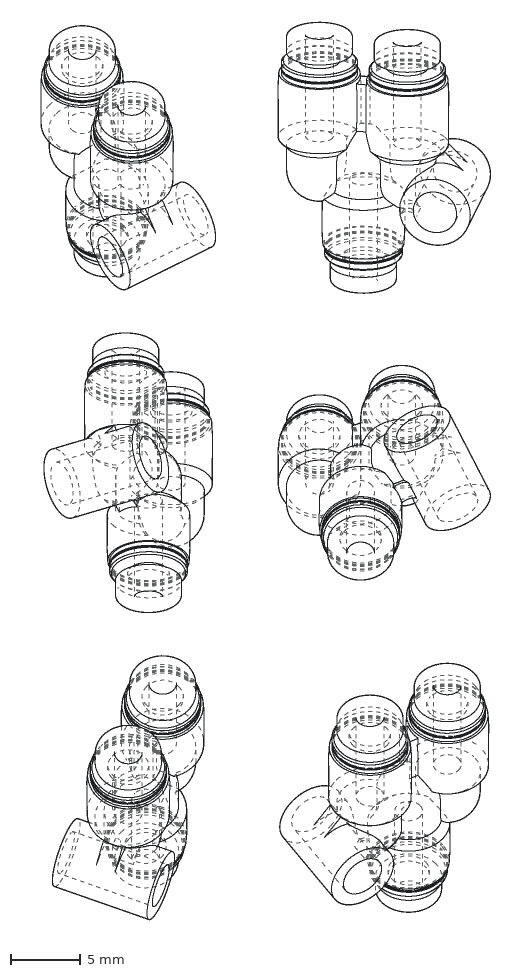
import cadquery as cq
import math

TOTAL_HEIGHT = 19.49
AXIS_OFFSET = 3.24

BUTTON_RADIUS = 2.4
LIP_RADIUS = 1.25
BORE_RADIUS = 2.0 / 2
BUTTON_NECK_RADIUS = 3.0 / 2
UPPER_COLLAR_RADIUS = 5.52 / 2
LOWER_COLLAR_RADIUS = 5.63 / 2
BODY_RADIUS = 6.0 / 2
BODY_MOUTH_RADIUS = 2.95
BODY_END_RADIUS = 2.98
STEM_RADIUS = 2.4

CROWN_DEPTH = 0.18
BUTTON_DEPTH = 1.5
COLLAR_START = 2.18
GROOVE_START = 2.73
GROOVE_END = 2.85
BODY_START = 3.18
TAPER_END = 4.2
UPPER_BODY_END = 8.25
LOWER_BODY_END = 7.05
UPPER_STEM_END = 10.72
LOWER_STEM_END = 10.0
BORE_DEPTH = 8.19

BUTTON_ROUND = 0.2
NECK_ROUND = 0.23
COLLAR_CHAMFER = 0.14
GROOVE_CUT = 0.08
SHOULDER = BODY_END_RADIUS - STEM_RADIUS
LIP_ROUND = LIP_RADIUS - BORE_RADIUS

RING_RADIUS = 5.2 / 2
RING_BORE_RADIUS = 3.2 / 2
RING_LENGTH = 7.4
RING_X = 6.02
RING_Z = 7.72

WEB_THICKNESS = 1.48
RIB_TOP = 16.0
RIB_BOTTOM = 8.77
RING_WEB_OFFSET = 2.55
RING_WEB_RELIEF = 0.82
RELIEF_X = 3.47
RELIEF_Z = 5.44


def fitting(collar_radius, body_end, stem_end):
    """One fitting on the Z axis, its end face at Z = 0 and its stem running to -Z."""
    diagonal = math.sqrt(0.5)
    profile = (
        cq.Workplane("XZ")
        .moveTo(0, 0)
        .lineTo(LIP_RADIUS, 0)
        .lineTo(BUTTON_RADIUS - BUTTON_ROUND, -CROWN_DEPTH)
        .radiusArc((BUTTON_RADIUS, -CROWN_DEPTH - BUTTON_ROUND), BUTTON_ROUND)
        .lineTo(BUTTON_RADIUS, -BUTTON_DEPTH)
        .lineTo(BUTTON_NECK_RADIUS + NECK_ROUND, -BUTTON_DEPTH)
        .radiusArc((BUTTON_NECK_RADIUS, -BUTTON_DEPTH - NECK_ROUND), -NECK_ROUND)
        .lineTo(BUTTON_NECK_RADIUS, -COLLAR_START)
        .lineTo(collar_radius - COLLAR_CHAMFER, -COLLAR_START)
        .lineTo(collar_radius, -COLLAR_START - COLLAR_CHAMFER)
        .lineTo(collar_radius, -GROOVE_START)
        .lineTo(collar_radius - GROOVE_CUT, -GROOVE_START)
        .lineTo(collar_radius - GROOVE_CUT, -GROOVE_END)
        .lineTo(collar_radius, -GROOVE_END)
        .lineTo(collar_radius, -BODY_START)
        .lineTo(BODY_MOUTH_RADIUS, -BODY_START)
        .lineTo(BODY_RADIUS, -TAPER_END)
        .lineTo(BODY_END_RADIUS, -body_end)
        .lineTo(STEM_RADIUS, -body_end - SHOULDER)
        .lineTo(STEM_RADIUS, -stem_end)
        .threePointArc(
            (STEM_RADIUS * diagonal, -stem_end - STEM_RADIUS * diagonal),
            (0, -stem_end - STEM_RADIUS),
        )
        .close()
    )
    return profile.revolve(360, (0, 0, 0), (0, 1, 0))


def socket():
    """Tube bore with a rounded lip, opening at Z = 0."""
    profile = (
        cq.Workplane("XZ")
        .moveTo(0, 0)
        .lineTo(LIP_RADIUS, 0)
        .radiusArc((BORE_RADIUS, -LIP_ROUND), -LIP_ROUND)
        .lineTo(BORE_RADIUS, -BORE_DEPTH)
        .lineTo(0, -BORE_DEPTH)
        .close()
    )
    return profile.revolve(360, (0, 0, 0), (0, 1, 0))


def place_upper(shape, side):
    return shape.translate((side * AXIS_OFFSET, 0, TOTAL_HEIGHT))


def place_lower(shape):
    return shape.rotate((0, 0, 0), (1, 0, 0), 180)


def ring_cylinder(radius):
    circle = cq.Workplane("XZ").center(RING_X, RING_Z).circle(radius)
    return circle.extrude(RING_LENGTH / 2, both=True)


def upper_rib():
    """Web joining the two upper bodies."""
    outline = cq.Workplane("XZ").moveTo(-AXIS_OFFSET, RIB_BOTTOM).lineTo(AXIS_OFFSET, RIB_BOTTOM)
    outline = outline.lineTo(AXIS_OFFSET, RIB_TOP).lineTo(-AXIS_OFFSET, RIB_TOP).close()
    return outline.extrude(WEB_THICKNESS / 2, both=True)


def ring_web():
    """Web from the fittings to the ring, with a 45 degree upper edge and a hollow below."""
    inner_x = AXIS_OFFSET / 2
    edge_sum = RING_X + RING_Z + RING_WEB_OFFSET * math.sqrt(2)
    meeting_angle = math.pi / 4 - math.acos(RING_WEB_OFFSET / RING_RADIUS)
    edge_end_z = RING_Z + RING_RADIUS * math.cos(meeting_angle)
    edge_end_x = edge_sum - edge_end_z
    outline = (
        cq.Workplane("XZ")
        .moveTo(inner_x, RELIEF_Z)
        .lineTo(RELIEF_X, RELIEF_Z)
        .lineTo(RING_X, RING_Z)
        .lineTo(edge_end_x, edge_end_z)
        .lineTo(AXIS_OFFSET, edge_sum - AXIS_OFFSET)
        .lineTo(inner_x, edge_sum - AXIS_OFFSET)
        .close()
    )
    web = outline.extrude(WEB_THICKNESS / 2, both=True)
    relief = cq.Workplane("XZ").center(RELIEF_X, RELIEF_Z).circle(RING_WEB_RELIEF)
    return web.cut(relief.extrude(WEB_THICKNESS, both=True))


result = place_lower(fitting(LOWER_COLLAR_RADIUS, LOWER_BODY_END, LOWER_STEM_END))
for side in (-1, 1):
    upper = fitting(UPPER_COLLAR_RADIUS, UPPER_BODY_END, UPPER_STEM_END)
    result = result.union(place_upper(upper, side))

result = result.union(upper_rib()).union(ring_web()).union(ring_cylinder(RING_RADIUS))
result = result.cut(ring_cylinder(RING_BORE_RADIUS))

result = result.cut(place_lower(socket()))
for side in (-1, 1):
    result = result.cut(place_upper(socket(), side))